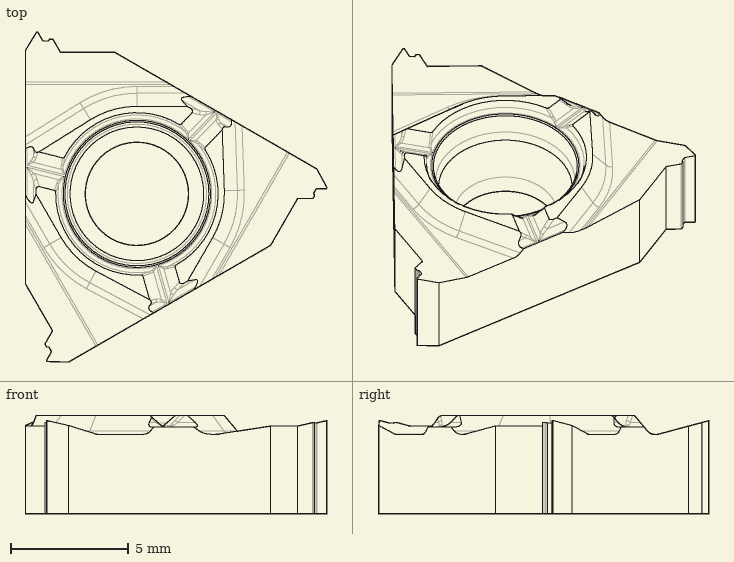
import cadquery as cq
import math


height = 4.2
side_distance = 4.76
tooth_reach = 6.9
tooth_depth = 7.18
far = 11.26
clearance = 0.14

front_flank_angle = 58.5
back_flank_angle = 60.0
tip_width = 0.05
valley_y = 6.52
valley_width = 0.23
nub_y = 6.6
nub_run = 0.04
nub_width = 0.15
corner_round = 0.04
shoulder_y = 6.04

floor_z = 3.4
fold_y = 4.72
rake_angle = 15.0
fold_radius = 0.37

boss_radius = 3.73
boss_face_angles = (122.0, 210.0)
boss_corner_angle = sum(boss_face_angles) / 2
boss_draft = 40.0
boss_base_radius = 0.38

groove_floor_z = 3.7
groove_angle = 165.9
groove_flat_half = 0.04
groove_reach = 0.63
groove_slope = 41.0
groove_corner_radius = 0.28
groove_start = 3.1
groove_inner_round = 0.08
groove_outer_round = 0.14

ledge_width = 0.07
cove_radius = 0.3
cove_wall_draft = 20.0
ledge_y_low = -1.13
ledge_y_high = 2.82

hole_radius = 4.4 / 2
seat_start_z = 0.86
seat_arc_radius = 2.2
seat_edge_z = 2.42
bore_radius = 3.07
bore_bottom_radius = 2.97
bore_bottom_z = 2.79
rim_z = 3.66
rim_chamfer = 0.07
step_z = groove_floor_z
step_corner_radius = 0.17
step_top_radius = 3.46
step_foot_radius = 3.37


def polar(radius, angle):
    a = math.radians(angle)
    return (radius * math.cos(a), radius * math.sin(a))


def rotated(point, angle):
    a = math.radians(angle)
    x, y = point
    return (x * math.cos(a) - y * math.sin(a), x * math.sin(a) + y * math.cos(a))


def thirds(shape):
    copies = shape
    for turn in (120, 240):
        copies = copies.union(shape.rotate((0, 0, 0), (0, 0, 1), turn))
    return copies


def tooth_points():
    """One third of the outline, from a tooth's front flank to the next flat side, and its round corners."""
    front_slope = math.tan(math.radians(front_flank_angle))
    back_slope = math.tan(math.radians(back_flank_angle))
    flank_y = 2 * (tooth_depth - side_distance * math.sin(math.radians(60)))
    tip_left = -side_distance + (tooth_reach - flank_y) / front_slope
    tip_right = tip_left + tip_width
    valley_left = tip_right + (tooth_reach - valley_y) / back_slope
    valley_right = valley_left + valley_width
    nub_left = valley_right + nub_run
    nub_right = nub_left + nub_width
    root_x = nub_right + (nub_y - shoulder_y) / back_slope
    shoulder_x = 2 * (side_distance - shoulder_y * math.sin(math.radians(60)))
    valley_start = (valley_left, valley_y)
    nub_start = (nub_left, nub_y)
    nub_end = (nub_right, nub_y)
    points = [
        (-side_distance, flank_y),
        (tip_left, tooth_reach),
        (tip_right, tooth_reach),
        valley_start,
        (valley_right, valley_y),
        nub_start,
        nub_end,
        (root_x, shoulder_y),
        (shoulder_x, shoulder_y),
    ]
    return points, (valley_start, nub_start, nub_end)


def outline_prism():
    points, rounded_corners = tooth_points()
    turns = (0, -120, -240)
    outline = [rotated(p, turn) for turn in turns for p in points]
    prism = cq.Workplane("XY").polyline(outline).close().extrude(height)
    for turn in turns:
        for corner in rounded_corners:
            x, y = rotated(corner, turn)
            nearest = cq.selectors.NearestToPointSelector((x, y, height / 2))
            prism = prism.edges("|Z").edges(nearest).fillet(corner_round)
    return prism


def boss_on_floor():
    """Wide slab at floor height carrying the drafted boss, with its base edge filleted."""
    base = boss_radius + (height - floor_z) * math.tan(math.radians(boss_draft))
    corner_half = (boss_face_angles[1] - boss_face_angles[0]) / 2
    corner = base / math.cos(math.radians(corner_half))
    first, second = boss_face_angles
    next_first = first + 120
    outline = cq.Workplane("XY").workplane(offset=floor_z).moveTo(*polar(base, first))
    for turn in (0, 120, 240):
        outline = (
            outline.lineTo(*polar(corner, boss_corner_angle + turn))
            .lineTo(*polar(base, second + turn))
            .threePointArc(polar(base, (second + next_first) / 2 + turn), polar(base, next_first + turn))
        )
    boss = outline.close().extrude(height - floor_z, taper=boss_draft)
    slab = cq.Workplane("XY").rect(2 * far, 2 * far).extrude(floor_z)
    box_low = (-corner, -corner, floor_z - clearance)
    box_high = (corner, corner, floor_z + clearance)
    base_edges = cq.selectors.BoxSelector(box_low, box_high)
    return slab.union(boss).edges(base_edges).fillet(boss_base_radius)


def tooth_ramp():
    """Rising rake surface of one tooth, blended into the floor by an arc."""
    rake = math.radians(rake_angle)
    blend = fold_radius * math.tan(rake / 2)
    run = far - fold_y
    return (
        cq.Workplane("YZ", origin=(-far, 0, 0))
        .moveTo(fold_y - 2 * blend, floor_z)
        .lineTo(fold_y - blend, floor_z)
        .tangentArcPoint((fold_y + blend * math.cos(rake), floor_z + blend * math.sin(rake)), relative=False)
        .lineTo(far, floor_z + run * math.tan(rake))
        .lineTo(far, 0)
        .lineTo(fold_y - 2 * blend, 0)
        .close()
        .extrude(2 * far)
    )


def corner_groove():
    """Flat-bottomed V groove with rounded floor corners, running outwards from the bore."""
    slope = math.radians(groove_slope)
    arc_x = groove_flat_half + groove_corner_radius * math.sin(slope)
    arc_z = groove_floor_z + groove_corner_radius * (1 - math.cos(slope))
    top_z = height + clearance
    wide_x = arc_x + (top_z - arc_z) / math.tan(slope)
    return (
        cq.Workplane("YZ", origin=(groove_start, 0, 0))
        .moveTo(-groove_flat_half, groove_floor_z)
        .lineTo(groove_flat_half, groove_floor_z)
        .tangentArcPoint((arc_x, arc_z), relative=False)
        .lineTo(wide_x, top_z)
        .lineTo(-wide_x, top_z)
        .lineTo(-arc_x, arc_z)
        .tangentArcPoint((-groove_flat_half, groove_floor_z), relative=False)
        .close()
        .extrude(far - groove_start)
        .rotate((0, 0, 0), (0, 0, 1), groove_angle)
    )


def side_ledge():
    """Narrow ledge beside one flat side, rising through a cove into a leaning wall."""
    draft = math.radians(cove_wall_draft)
    cove_x = -side_distance + ledge_width
    wall_x = cove_x + cove_radius * math.cos(draft)
    wall_z = groove_floor_z + cove_radius * (1 - math.sin(draft))
    top_z = height + clearance
    return (
        cq.Workplane("XZ", origin=(0, ledge_y_high, 0))
        .moveTo(-far, groove_floor_z)
        .lineTo(cove_x, groove_floor_z)
        .tangentArcPoint((wall_x, wall_z), relative=False)
        .lineTo(wall_x + (top_z - wall_z) * math.tan(draft), top_z)
        .lineTo(-far, top_z)
        .close()
        .extrude(ledge_y_high - ledge_y_low)
    )


def screw_hole():
    """Stepped hole: bore, curved seat, wide bore and a coved step under the boss top."""
    seat_angle = math.asin((seat_edge_z - seat_start_z) / seat_arc_radius)
    seat_edge_radius = hole_radius + seat_arc_radius * (1 - math.cos(seat_angle))
    return (
        cq.Workplane("XZ")
        .lineTo(hole_radius, 0)
        .lineTo(hole_radius, seat_start_z)
        .tangentArcPoint((seat_edge_radius, seat_edge_z), relative=False)
        .lineTo(bore_bottom_radius, bore_bottom_z)
        .lineTo(bore_radius, rim_z)
        .lineTo(bore_radius + rim_chamfer, step_z)
        .lineTo(step_foot_radius - step_corner_radius, step_z)
        .tangentArcPoint((step_foot_radius, step_z + step_corner_radius), relative=False)
        .lineTo(step_top_radius, height)
        .lineTo(0, height)
        .close()
        .revolve(360, (0, 0, 0), (0, 1, 0))
    )


def groove_position(edge):
    """Middle of an edge as (along, across, z) in the frame of the nearest groove."""
    middle = edge.Center()
    angle = math.degrees(math.atan2(middle.y, middle.x))
    turn = 120 * round((angle - groove_angle) / 120)
    along, across = rotated((middle.x, middle.y), -groove_angle - turn)
    return along, across, middle.z


def at_groove_inner_end(edge):
    """True for the edges where a groove meets the step wall around the hole."""
    along, across, z = groove_position(edge)
    beside_floor = groove_flat_half < abs(across) < groove_reach
    return edge.geomType() != "CIRCLE" and z > groove_floor_z and along < step_top_radius and beside_floor


def at_groove_outer_end(edge):
    """True for the edges where a groove meets the leaning wall of a side ledge."""
    along, across, z = groove_position(edge)
    cove_top_z = groove_floor_z + cove_radius * (1 - math.sin(math.radians(cove_wall_draft)))
    on_flat_walls = cove_top_z < z < height
    return on_flat_walls and along > boss_radius and abs(across) < groove_reach


def rounded(solid, is_wanted, radius):
    edges = [edge for edge in solid.edges().vals() if is_wanted(edge)]
    return solid.newObject(edges).fillet(radius)


body = (
    boss_on_floor()
    .union(thirds(tooth_ramp()))
    .intersect(outline_prism())
    .cut(thirds(side_ledge()))
    .cut(thirds(corner_groove()))
    .cut(screw_hole())
)
body = rounded(body, at_groove_outer_end, groove_outer_round)
result = rounded(body, at_groove_inner_end, groove_inner_round)